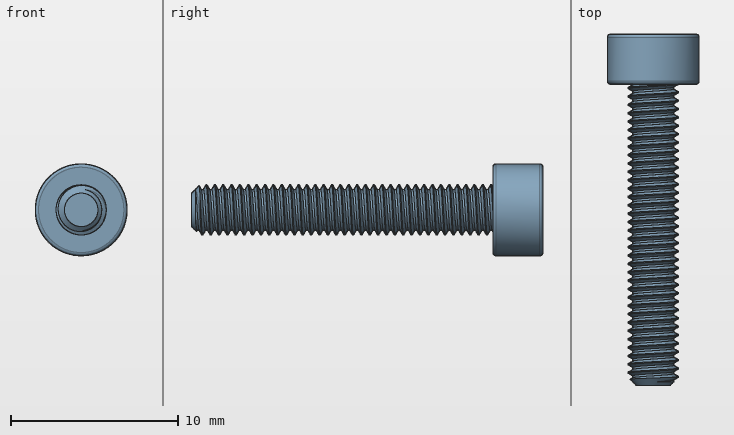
import cadquery as cq
import math


head_diameter = 5.5
head_height = 3.0
head_edge_radius = 0.2

thread_diameter = 3.0
shank_length = 18.0
tip_chamfer = 0.5

pitch = 0.5
flank_half_angle = math.radians(60 / 2)
thread_height = pitch / (2 * math.tan(flank_half_angle))
groove_depth = 5 / 8 * thread_height
root_width = pitch / 4
cutter_overshoot = 0.02
tip_groove_offset = 0.15
cutter_turns = 2

thread_radius = thread_diameter / 2
root_radius = thread_radius - groove_depth


def make_head():
    """Plain cylinder with both rims rounded; it grows from Y = 0 to +Y."""
    head = cq.Workplane("XZ").circle(head_diameter / 2).extrude(-head_height)
    return head.faces("<Y or >Y").edges().fillet(head_edge_radius)


def make_shank():
    """Cylinder with a chamfered tip; it reaches into the head so the groove can run out inside it."""
    embedded_length = head_height / 2
    blank = (
        cq.Workplane("XZ", origin=(0, embedded_length, 0))
        .circle(thread_radius)
        .extrude(shank_length + embedded_length)
    )
    return blank.faces("<Y").chamfer(tip_chamfer)


def make_groove_cutter():
    """Right-hand helical V groove, a few turns long, climbing toward +Y from a centre at Y = 0, +Z side."""
    outer_radius = thread_radius + cutter_overshoot
    outer_half_width = root_width / 2 + (outer_radius - root_radius) * math.tan(flank_half_angle)
    profile = cq.Workplane("XZ").polyline([
        (root_radius, -root_width / 2),
        (root_radius, root_width / 2),
        (outer_radius, outer_half_width),
        (outer_radius, -outer_half_width),
    ]).close()
    helix = cq.Wire.makeHelix(pitch, cutter_turns * pitch, thread_radius)
    cutter = profile.sweep(cq.Workplane(obj=helix), isFrenet=True)

    cutter = cutter.rotate((0, 0, 0), (1, 0, 0), -90)
    return cutter.rotate((0, 0, 0), (0, 1, 0), -90)


def cut_thread(shank):
    """Cut the groove in short lengths laid end to end, from beyond the tip to inside the head."""
    cutter = make_groove_cutter()
    cutter_lead = cutter_turns * pitch
    start_y = -shank_length + tip_groove_offset - pitch
    cutter_count = math.ceil((pitch - start_y) / cutter_lead)
    for index in range(cutter_count):
        shank = shank.cut(cutter.translate((0, start_y + index * cutter_lead, 0)))
    return shank


threaded_shank = cut_thread(make_shank())
result = make_head().union(threaded_shank)